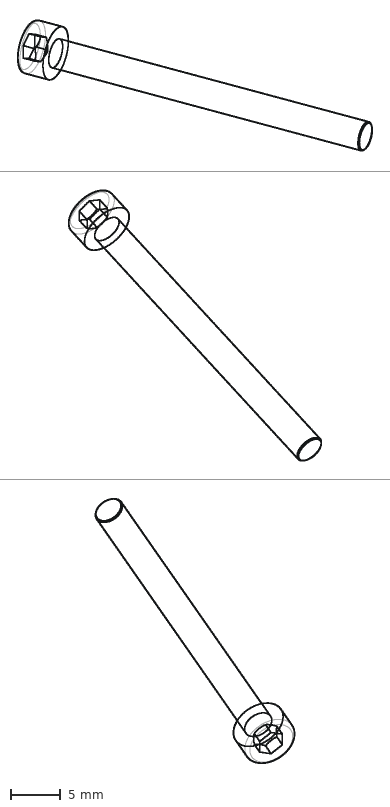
import cadquery as cq
import math

total_length = 38.0
head_diameter = 5.5
head_length = 3.0
head_edge_radius = 0.38
shank_diameter = 3.0
tip_chamfer = 0.1
socket_flats = 2.5
socket_depth = 1.3
socket_cone_angle = 120.0

head_face_x = -total_length / 2
shank_length = total_length - head_length
socket_corner_diameter = socket_flats / math.cos(math.pi / 6)


def make_head():
    """Cylindrical head with a rounded outer edge on its free face."""
    head = cq.Workplane("YZ", origin=(head_face_x, 0, 0)).circle(head_diameter / 2).extrude(head_length)
    return head.faces("<X").edges().fillet(head_edge_radius)


def make_shank():
    """Plain shank with a chamfered tip."""
    shank = (
        cq.Workplane("YZ", origin=(head_face_x + head_length, 0, 0))
        .circle(shank_diameter / 2)
        .extrude(shank_length)
    )
    return shank.faces(">X").edges().chamfer(tip_chamfer)


def make_hexagon(depth):
    """Hexagonal prism with corners on the Z axis, going into the head from its free face."""
    return (
        cq.Workplane("YZ", origin=(head_face_x, 0, 0))
        .transformed(rotate=(0, 0, 90))
        .polygon(6, socket_corner_diameter)
        .extrude(depth)
    )


def make_socket():
    """Hexagonal socket whose conical bottom reaches out to the hexagon corners."""
    cone_radius = socket_corner_diameter / 2
    cone_depth = cone_radius / math.tan(math.radians(socket_cone_angle / 2))
    cone = cq.Workplane(
        cq.Solid.makeCone(
            cone_radius,
            0,
            cone_depth,
            pnt=cq.Vector(head_face_x + socket_depth, 0, 0),
            dir=cq.Vector(1, 0, 0),
        )
    )
    bottom = cone.intersect(make_hexagon(socket_depth + cone_depth))
    return make_hexagon(socket_depth).union(bottom)


result = make_head().union(make_shank()).cut(make_socket())